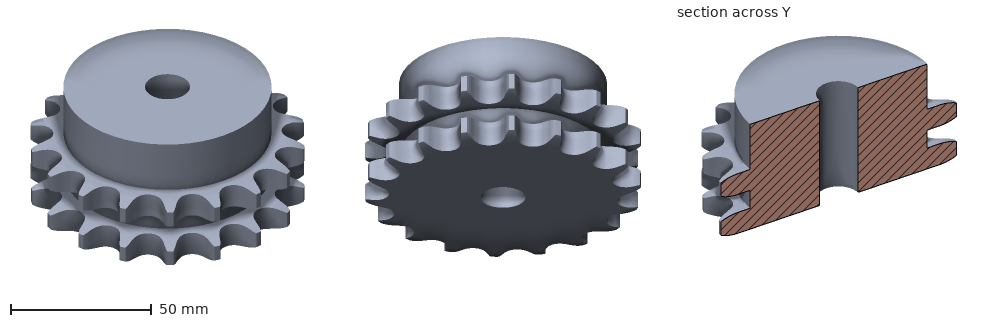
import math

import cadquery as cq

TEETH = 18
CHAIN_PITCH = 15.875
ROLLER_DIAMETER = 10.16
OUTSIDE_DIAMETER = 98.3
TOOTH_WIDTH = 9.1
STRAND_SPACING = 16.59
STRANDS = 2
HUB_DIAMETER = 74.0
BORE_DIAMETER = 16.0
TOTAL_HEIGHT = 45.0
FLANK_ROUND_RADIUS = 16.0
FLANK_ROUND_DEPTH = 1.6
CUT_MARGIN = 0.5

SEAT_RADIUS = (1.005 * ROLLER_DIAMETER + 0.0762) / 2
SEAT_ANGLE = 35 + 60 / TEETH
WORKING_SWEEP = 18 - 56 / TEETH
WORKING_CENTRE_DISTANCE = 0.8 * ROLLER_DIAMETER
TIP_CENTRE_DISTANCE = 1.4 * ROLLER_DIAMETER

half_pitch_angle = 180 / TEETH
tip_radius = OUTSIDE_DIAMETER / 2
pitch_radius = CHAIN_PITCH / 2 / math.sin(math.radians(half_pitch_angle))


def polar(centre, radius, degrees):
    """Point at a distance and a direction from a centre."""
    angle = math.radians(degrees)
    return (centre[0] + radius * math.cos(angle), centre[1] + radius * math.sin(angle))


def arc_points(centre, radius, start, end):
    """Middle and end point of an arc between two directions in degrees."""
    return polar(centre, radius, (start + end) / 2), polar(centre, radius, end)


def mirrored(point):
    return (-point[0], point[1])


def tooth_gap():
    """Cutter for the gap centred on +Y, as tall as one toothed disc.

    Each side runs from the roller seat through a concave working arc and a short
    straight flank into a convex tip arc.
    """
    roller = (0, pitch_radius)
    seat_bottom = polar(roller, SEAT_RADIUS, -90)
    seat_end = polar(roller, SEAT_RADIUS, -SEAT_ANGLE)

    working_centre = polar(roller, WORKING_CENTRE_DISTANCE, 180 - SEAT_ANGLE)
    working_radius = WORKING_CENTRE_DISTANCE + SEAT_RADIUS
    flank_normal = WORKING_SWEEP - SEAT_ANGLE
    working_middle, working_end = arc_points(working_centre, working_radius, -SEAT_ANGLE, flank_normal)

    tip_centre = polar(roller, TIP_CENTRE_DISTANCE, -half_pitch_angle)
    normal_x, normal_y = polar((0, 0), 1, flank_normal)
    tip_arc_radius = (
        normal_x * (tip_centre[0] - working_end[0])
        + normal_y * (tip_centre[1] - working_end[1])
    )
    tip_arc_start_angle = 180 + flank_normal
    flank_end = polar(tip_centre, tip_arc_radius, tip_arc_start_angle)
    rise = tip_radius + CUT_MARGIN - tip_centre[1]
    tip_arc_end_angle = 180 - math.degrees(math.asin(rise / tip_arc_radius))
    tip_middle, tip_end = arc_points(tip_centre, tip_arc_radius, tip_arc_start_angle, tip_arc_end_angle)

    return (
        cq.Workplane("XY")
        .moveTo(*tip_end)
        .threePointArc(tip_middle, flank_end)
        .lineTo(*working_end)
        .threePointArc(working_middle, seat_end)
        .threePointArc(seat_bottom, mirrored(seat_end))
        .threePointArc(mirrored(working_middle), mirrored(working_end))
        .lineTo(*mirrored(flank_end))
        .threePointArc(mirrored(tip_middle), mirrored(tip_end))
        .close()
        .extrude(TOOTH_WIDTH)
    )


def disc_blank():
    """Disc whose rim is rounded on both sides, standing on the XY plane."""
    round_angle = math.degrees(math.acos(1 - FLANK_ROUND_DEPTH / FLANK_ROUND_RADIUS))
    round_start = tip_radius - FLANK_ROUND_RADIUS * math.sin(math.radians(round_angle))
    lower_centre = (round_start, FLANK_ROUND_RADIUS)
    upper_centre = (round_start, TOOTH_WIDTH - FLANK_ROUND_RADIUS)
    lower_middle, lower_end = arc_points(lower_centre, FLANK_ROUND_RADIUS, -90, round_angle - 90)
    upper_middle = polar(upper_centre, FLANK_ROUND_RADIUS, 90 - round_angle / 2)
    return (
        cq.Workplane("XZ")
        .lineTo(round_start, 0)
        .threePointArc(lower_middle, lower_end)
        .lineTo(tip_radius, TOOTH_WIDTH - FLANK_ROUND_DEPTH)
        .threePointArc(upper_middle, (round_start, TOOTH_WIDTH))
        .lineTo(0, TOOTH_WIDTH)
        .close()
        .revolve(360, (0, 0, 0), (0, 1, 0))
    )


def toothed_disc():
    """Rounded disc with all its gaps cut; one tooth is centred on +X."""
    disc = disc_blank()
    gap = tooth_gap()
    first_gap_turn = half_pitch_angle - 90
    for index in range(TEETH):
        turn = first_gap_turn + index * 360 / TEETH
        disc = disc.cut(gap.rotate((0, 0, 0), (0, 0, 1), turn))
    return disc


def sprocket():
    """Hub carrying the toothed discs from its bottom face upwards, bored through."""
    body = cq.Workplane("XY").circle(HUB_DIAMETER / 2).extrude(TOTAL_HEIGHT)
    disc = toothed_disc()
    for strand in range(STRANDS):
        body = body.union(disc.translate((0, 0, strand * STRAND_SPACING)))
    bore = cq.Workplane("XY").circle(BORE_DIAMETER / 2).extrude(TOTAL_HEIGHT)
    return body.cut(bore)


result = sprocket()